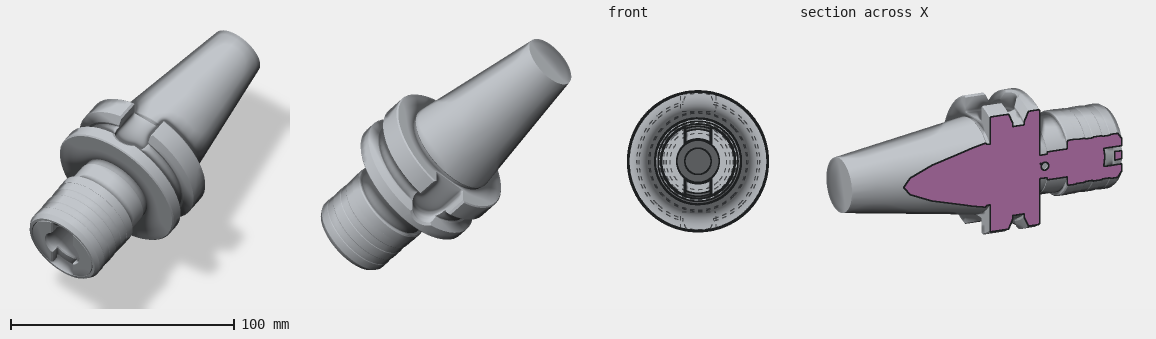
import cadquery as cq
import math

LENGTH = 133.9

GAUGE_Y = 68.4
GAUGE_RADIUS = 22.2
TAPER_RATIO = 7 / 24
TAPER_END_BEVEL_LENGTH = 0.8
TAPER_END_BEVEL_DEPTH = 0.1
RELIEF_RADIUS = 21.7
TAPER_END_RADIUS = GAUGE_RADIUS - (LENGTH - TAPER_END_BEVEL_LENGTH - GAUGE_Y) * TAPER_RATIO / 2

FLANGE_DIAMETER = 63.0
FLANGE_RADIUS = FLANGE_DIAMETER / 2
FLANGE_FRONT_Y = 41.2
FLANGE_BACK_Y = 66.4
FLANGE_EDGE_CHAMFER = 0.5
GROOVE_RADIUS = 26.5
GROOVE_MOUTH_FRONT_Y = 47.0
GROOVE_MOUTH_BACK_Y = 56.9
FLANK_AXIAL = 2.3
FLANK_RADIAL = FLANK_AXIAL * math.tan(math.radians(60))

UPPER_NECK_RADIUS = 17.1
UPPER_NECK_Y = 37.6
NECK_RADIUS = 17.5
COLLAR_RADIUS = 19.4
COLLAR_BACK_Y = 27.6
COLLAR_FRONT_Y = 22.8
COLLAR_CHAMFER = 0.5
SLEEVE_RADIUS = 19.3
NOSE_FACE_RADIUS = 18.0
NOSE_BEVEL_Y = 2.1
RING_FRONTS_Y = (5.9, 14.5)
RING_LENGTH = 4.2
RING_DEPTH = 0.2
RING_SLOPE = 0.3

KEYWAY_HALF_WIDTH = 8
KEYWAY_FLOOR_Z = 22.5
KEYWAY_FLOOR_FILLET = 1.0
KEYWAY_TIP_Y = 45.5
KEYWAY_MOUTH_CHAMFER = 1.1
MOUTH_MIN_Z = 30.1
SELECTION_MARGIN = 0.1

BORE_RADIUS = 9.5
BORE_DEPTH = FLANGE_FRONT_Y
PILOT_RADIUS = 5.9
PILOT_DEPTH = 13.4
DISC_RADIUS = 16.3
STEM_RADIUS = 14.3
GAP_OUTER_RADIUS = 16.7
GAP_DEPTH = 8
GAP_BEVEL = 1.1
SLOT_HALF_WIDTH = 5.5
SLOT_DEPTH = 4.2
SLOT_FLOOR_FILLET = 0.5
SLOT_MOUTH_CHAMFER = 0.7
DISC_THICKNESS = SLOT_DEPTH - SLOT_FLOOR_FILLET
BORE_EDGE_CHAMFER = 0.5

DIMPLE_RADIUS = 1.7
DIMPLE_Y = 38.7
DIMPLE_DEPTH = 2.7


def disc(radius, start_y, length):
    """Cylinder on the Y axis, from start_y towards +Y."""
    return cq.Workplane("XZ", origin=(0, start_y, 0)).circle(radius).extrude(-length)


def cone(start_radius, end_radius, start_y, length):
    """Cone on the Y axis, from start_y towards +Y."""
    solid = cq.Solid.makeCone(
        start_radius, end_radius, length, cq.Vector(0, start_y, 0), cq.Vector(0, 1, 0)
    )
    return cq.Workplane(obj=solid)


def turned_body():
    edge = FLANGE_EDGE_CHAMFER
    outline = (
        cq.Workplane("XY")
        .moveTo(0, 0)
        .lineTo(NOSE_FACE_RADIUS, 0)
        .lineTo(SLEEVE_RADIUS, NOSE_BEVEL_Y)
    )
    for front_y in RING_FRONTS_Y:
        back_y = front_y + RING_LENGTH
        outline = (
            outline.lineTo(SLEEVE_RADIUS, front_y)
            .lineTo(SLEEVE_RADIUS - RING_DEPTH, front_y + RING_SLOPE)
            .lineTo(SLEEVE_RADIUS - RING_DEPTH, back_y - RING_SLOPE)
            .lineTo(SLEEVE_RADIUS, back_y)
        )
    flank_radius = FLANGE_RADIUS - FLANK_RADIAL
    outline = (
        outline.lineTo(SLEEVE_RADIUS, COLLAR_FRONT_Y)
        .lineTo(COLLAR_RADIUS, COLLAR_FRONT_Y)
        .lineTo(COLLAR_RADIUS, COLLAR_BACK_Y - COLLAR_CHAMFER)
        .lineTo(COLLAR_RADIUS - COLLAR_CHAMFER, COLLAR_BACK_Y)
        .lineTo(NECK_RADIUS, COLLAR_BACK_Y)
        .lineTo(NECK_RADIUS, UPPER_NECK_Y)
        .lineTo(UPPER_NECK_RADIUS, UPPER_NECK_Y)
        .lineTo(UPPER_NECK_RADIUS, FLANGE_FRONT_Y)
        .lineTo(FLANGE_RADIUS - edge, FLANGE_FRONT_Y)
        .lineTo(FLANGE_RADIUS, FLANGE_FRONT_Y + edge)
        .lineTo(FLANGE_RADIUS, GROOVE_MOUTH_FRONT_Y)
        .lineTo(flank_radius, GROOVE_MOUTH_FRONT_Y + FLANK_AXIAL)
        .lineTo(GROOVE_RADIUS, GROOVE_MOUTH_FRONT_Y + FLANK_AXIAL)
        .lineTo(GROOVE_RADIUS, GROOVE_MOUTH_BACK_Y - FLANK_AXIAL)
        .lineTo(flank_radius, GROOVE_MOUTH_BACK_Y - FLANK_AXIAL)
        .lineTo(FLANGE_RADIUS, GROOVE_MOUTH_BACK_Y)
        .lineTo(FLANGE_RADIUS, FLANGE_BACK_Y - edge)
        .lineTo(FLANGE_RADIUS - edge, FLANGE_BACK_Y)
        .lineTo(RELIEF_RADIUS, FLANGE_BACK_Y)
        .lineTo(RELIEF_RADIUS, GAUGE_Y - (GAUGE_RADIUS - RELIEF_RADIUS))
        .lineTo(GAUGE_RADIUS, GAUGE_Y)
        .lineTo(TAPER_END_RADIUS, LENGTH - TAPER_END_BEVEL_LENGTH)
        .lineTo(TAPER_END_RADIUS - TAPER_END_BEVEL_DEPTH, LENGTH)
        .lineTo(0, LENGTH)
        .close()
    )
    return outline.revolve(360, (0, 0, 0), (0, 1, 0))


def keyway_cutter():
    """Keyway on the +Z side: rounded tip towards the nose, open at the back of the flange."""
    tip_centre_y = KEYWAY_TIP_Y + KEYWAY_HALF_WIDTH
    return (
        cq.Workplane("XY", origin=(0, 0, KEYWAY_FLOOR_Z))
        .moveTo(-KEYWAY_HALF_WIDTH, GAUGE_Y)
        .lineTo(-KEYWAY_HALF_WIDTH, tip_centre_y)
        .threePointArc((0, KEYWAY_TIP_Y), (KEYWAY_HALF_WIDTH, tip_centre_y))
        .lineTo(KEYWAY_HALF_WIDTH, GAUGE_Y)
        .close()
        .extrude(FLANGE_RADIUS)
        .faces("<Z")
        .edges()
        .fillet(KEYWAY_FLOOR_FILLET)
    )


def chamfer_keyway_mouths(body):
    """Break the edges where the keyways cross the outer cylinder of the flange."""
    half = KEYWAY_HALF_WIDTH + SELECTION_MARGIN
    front_y = FLANGE_FRONT_Y + FLANGE_EDGE_CHAMFER
    back_y = FLANGE_BACK_Y - FLANGE_EDGE_CHAMFER
    for low_z, high_z in ((MOUTH_MIN_Z, FLANGE_RADIUS), (-FLANGE_RADIUS, -MOUTH_MIN_Z)):
        mouth = cq.selectors.BoxSelector((-half, front_y, low_z), (half, back_y, high_z))
        body = body.edges(mouth).chamfer(KEYWAY_MOUTH_CHAMFER)
    return body


def nose_slot_cutter():
    """Slot across the slotted disc: bevelled mouth, rounded floor corners, broken bore edge."""
    mouth = SLOT_MOUTH_CHAMFER
    half_mouth = SLOT_HALF_WIDTH + mouth
    across = 2 * GAP_OUTER_RADIUS
    shallow = (
        cq.Workplane("XY", origin=(0, 0, -GAP_OUTER_RADIUS))
        .polyline(
            [(-half_mouth, 0), (half_mouth, 0), (SLOT_HALF_WIDTH, mouth), (-SLOT_HALF_WIDTH, mouth)]
        )
        .close()
        .extrude(across)
        .intersect(disc(GAP_OUTER_RADIUS, 0, mouth))
    )
    deep = (
        cq.Workplane("XY")
        .box(2 * SLOT_HALF_WIDTH, SLOT_DEPTH, across, centered=(True, False, True))
        .edges("|Z and >Y")
        .fillet(SLOT_FLOOR_FILLET)
        .intersect(disc(GAP_OUTER_RADIUS, 0, SLOT_DEPTH))
    )
    bore_edge = cone(
        BORE_RADIUS + BORE_EDGE_CHAMFER, BORE_RADIUS, SLOT_DEPTH, BORE_EDGE_CHAMFER
    ).intersect(cq.Workplane("XY").box(2 * SLOT_HALF_WIDTH, LENGTH, across))
    return shallow.union(deep).union(bore_edge)


def nose_gap_cutter():
    """Clearance round the slotted disc, widened behind it and bevelled at the bottom."""
    gap = disc(GAP_OUTER_RADIUS, 0, GAP_DEPTH).cut(disc(DISC_RADIUS, 0, DISC_THICKNESS))
    gap = gap.cut(disc(STEM_RADIUS, DISC_THICKNESS, GAP_DEPTH - DISC_THICKNESS))
    bottom_bevel = disc(GAP_OUTER_RADIUS, GAP_DEPTH, GAP_BEVEL).cut(
        cone(GAP_OUTER_RADIUS - GAP_BEVEL, GAP_OUTER_RADIUS, GAP_DEPTH, GAP_BEVEL)
    )
    return gap.union(bottom_bevel)


def dimple_cutter():
    bottom_x = DIMPLE_DEPTH - NECK_RADIUS
    return (
        cq.Workplane("YZ", origin=(bottom_x, DIMPLE_Y, 0)).circle(DIMPLE_RADIUS).extrude(-NECK_RADIUS)
    )


body = turned_body()
keyway = keyway_cutter()
body = body.cut(keyway).cut(keyway.rotate((0, 0, 0), (0, 1, 0), 180))
body = chamfer_keyway_mouths(body)
body = body.cut(disc(BORE_RADIUS, 0, BORE_DEPTH)).cut(disc(PILOT_RADIUS, BORE_DEPTH, PILOT_DEPTH))
body = body.cut(nose_gap_cutter()).cut(nose_slot_cutter())
result = body.cut(dimple_cutter())